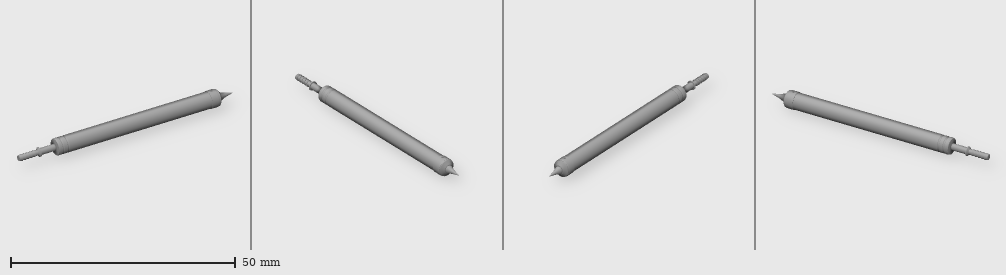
import cadquery as cq

TIP_Y = 55.4

ROD_DIAMETER = 1.6
ROD_RADIUS = ROD_DIAMETER / 2
BARB_COUNT = 5
BARBED_LENGTH = 4.0
BARB_PITCH = BARBED_LENGTH / BARB_COUNT
BARB_RADIUS = ROD_RADIUS
BARB_TAPER_LENGTH = 0.55
NECK_RADIUS = 0.65
NECK_END_Y = 4.8
FLANGE_RADIUS = 1.1
FLANGE_Y = 5.2
FLANGE_THICKNESS = 0.2

BARREL_RADIUS = 2.0
BARREL_START_Y = 9.4
TAIL_CONE_LENGTH = 0.15
TAIL_TAPER_LENGTH = 0.35
TAIL_TAPER_DEPTH = 0.085
GROOVE_WIDTH = 0.5
GROOVE_DEPTH = 0.1
GROOVE_CENTRES_Y = (10.6, 11.9)

CAP_RADIUS = 2.1
CAP_START_Y = 49.0
CAP_TAPER_START_Y = 50.7
CAP_TAPER_LENGTH = 0.35
CAP_TAPER_DEPTH = 0.05
SHOULDER_RADIUS = 2.0
SHOULDER_Y = 51.25
CONE_END_RADIUS = 1.1
CONE_END_Y = 51.9

COLLAR_RADIUS = 0.95
COLLAR_END_Y = 52.2
NEEDLE_BASE_RADIUS = 0.6
NEEDLE_BASE_Y = 52.95
TIP_RADIUS = 0.03

DIMPLE_Y = 49.85
DIMPLE_RADIUS = 0.3


def add_barbs(profile):
    """Step out and taper back for each barb, from the neck down to the free end at y = 0.

    A short straight root follows every taper except the last, which runs out at the free end.
    """
    for index in range(BARB_COUNT, 0, -1):
        barb_y = index * BARB_PITCH
        profile = profile.lineTo(BARB_RADIUS, barb_y)
        if index > 1:
            profile = profile.lineTo(NECK_RADIUS, barb_y - BARB_TAPER_LENGTH)
        profile = profile.lineTo(NECK_RADIUS, barb_y - BARB_PITCH)
    return profile


def add_grooves(profile):
    """Run up the barrel surface, dipping through an arc at each groove."""
    for centre_y in GROOVE_CENTRES_Y:
        profile = profile.lineTo(BARREL_RADIUS, centre_y - GROOVE_WIDTH / 2)
        profile = profile.threePointArc(
            (BARREL_RADIUS - GROOVE_DEPTH, centre_y),
            (BARREL_RADIUS, centre_y + GROOVE_WIDTH / 2),
        )
    return profile


def make_turned_body():
    """Revolve the half profile (radius along X, length along Y) about the Y axis."""
    flange_top_y = FLANGE_Y + FLANGE_THICKNESS
    tail_face_y = BARREL_START_Y - TAIL_CONE_LENGTH
    cap_taper_end_y = CAP_TAPER_START_Y + CAP_TAPER_LENGTH

    profile = cq.Workplane("XY").moveTo(0, tail_face_y)
    profile = profile.lineTo(ROD_RADIUS, tail_face_y)
    profile = profile.lineTo(BARREL_RADIUS - TAIL_TAPER_DEPTH, BARREL_START_Y)
    profile = profile.lineTo(BARREL_RADIUS, BARREL_START_Y + TAIL_TAPER_LENGTH)
    profile = add_grooves(profile)
    profile = profile.lineTo(BARREL_RADIUS, CAP_START_Y)

    profile = (
        profile.lineTo(CAP_RADIUS, CAP_START_Y)
        .lineTo(CAP_RADIUS, CAP_TAPER_START_Y)
        .lineTo(CAP_RADIUS - CAP_TAPER_DEPTH, cap_taper_end_y)
        .lineTo(SHOULDER_RADIUS, cap_taper_end_y)
        .lineTo(SHOULDER_RADIUS, SHOULDER_Y)
        .lineTo(CONE_END_RADIUS, CONE_END_Y)
        .lineTo(COLLAR_RADIUS, CONE_END_Y)
        .lineTo(COLLAR_RADIUS, COLLAR_END_Y)
        .lineTo(NEEDLE_BASE_RADIUS, NEEDLE_BASE_Y)
        .lineTo(TIP_RADIUS, TIP_Y)
        .lineTo(0, TIP_Y)
    )
    barrel = profile.close().revolve(360, (0, 0, 0), (0, 1, 0))

    pin = (
        cq.Workplane("XY")
        .moveTo(0, BARREL_START_Y)
        .lineTo(ROD_RADIUS, BARREL_START_Y)
        .lineTo(ROD_RADIUS, flange_top_y)
        .lineTo(FLANGE_RADIUS, flange_top_y)
        .lineTo(FLANGE_RADIUS, FLANGE_Y)
        .lineTo(NECK_RADIUS, NECK_END_Y)
        .lineTo(NECK_RADIUS, BARBED_LENGTH)
    )
    pin = add_barbs(pin).lineTo(0, 0).close().revolve(360, (0, 0, 0), (0, 1, 0))
    return barrel.union(pin)


def cut_dimples(body):
    """Press a spherical dimple into the top and bottom of the cap."""
    for side in (1, -1):
        dimple = cq.Workplane("XY").sphere(DIMPLE_RADIUS).translate((0, DIMPLE_Y, side * CAP_RADIUS))
        body = body.cut(dimple)
    return body


result = cut_dimples(make_turned_body())